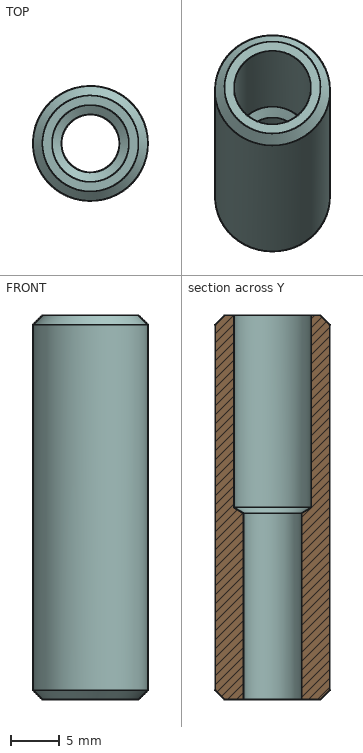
import cadquery as cq
import math

length = 40.0
outer_diameter = 12.0
edge_chamfer = 1.0

wide_bore_diameter = 8.0
narrow_bore_diameter = 6.0
wide_bore_depth = 20.0
shoulder_angle = 118.0

outer_radius = outer_diameter / 2
wide_radius = wide_bore_diameter / 2
narrow_radius = narrow_bore_diameter / 2
shoulder_height = (wide_radius - narrow_radius) / math.tan(math.radians(shoulder_angle / 2))
top = length / 2
bottom = -length / 2
shoulder_top = top - wide_bore_depth


def make_body():
    """Solid cylinder with both end edges chamfered."""
    body = cq.Workplane("XY").workplane(offset=bottom).circle(outer_radius).extrude(length)
    return body.faces("<Z or >Z").edges().chamfer(edge_chamfer)


def make_bore():
    """Revolved cutter for the stepped bore."""
    return (
        cq.Workplane("XZ")
        .moveTo(0, bottom)
        .lineTo(narrow_radius, bottom)
        .lineTo(narrow_radius, shoulder_top - shoulder_height)
        .lineTo(wide_radius, shoulder_top)
        .lineTo(wide_radius, top)
        .lineTo(0, top)
        .close()
        .revolve(360, (0, 0, 0), (0, 1, 0))
    )


result = make_body().cut(make_bore())